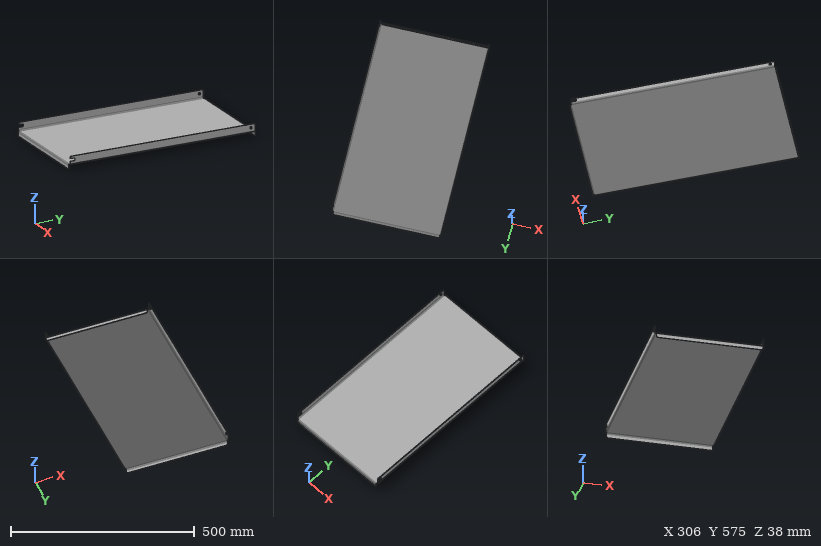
import cadquery as cq

length = 575.0
width = 306.0
height = 38.0
thickness = 1.5
inner_bend_radius = 1.5
outer_bend_radius = inner_bend_radius + thickness
corner_relief = 3.75
wall_height = 25.0

lip_bottom = wall_height - height
wall_length = length - 2 * corner_relief
lip_width = width - 2 * corner_relief
wall_corner_radius = 4.0
lip_corner_radius = 5.0

hole_diameter = 6.5
hole_end_distance = 12.0
mount_drop = 10.5
mount_height = wall_height - mount_drop
slot_width = 8.0
slot_depth = 15.0


def bent_channel(plane, span, flange_height, run):
    """U channel on a floor at Z = 0, opening upward and centred along its run."""
    bend_axis = "|Y" if plane == "XZ" else "|X"

    def rounded_block(block_span, bottom, bend_radius):
        return (
            cq.Workplane(plane)
            .center(0, (bottom + flange_height) / 2)
            .rect(block_span, flange_height - bottom)
            .extrude(run / 2, both=True)
            .edges(bend_axis)
            .edges("<Z")
            .fillet(bend_radius)
        )

    outside = rounded_block(span, 0, outer_bend_radius)
    inside = rounded_block(span - 2 * thickness, thickness, inner_bend_radius)
    return outside.cut(inside)


def side_walls():
    channel = bent_channel("XZ", width, wall_height, wall_length)
    channel = channel.edges("|X").edges(">Z").edges("<Y or >Y").fillet(wall_corner_radius)

    hole = (
        cq.Workplane("YZ")
        .center(wall_length / 2 - hole_end_distance, mount_height)
        .circle(hole_diameter / 2)
        .extrude(width, both=True)
    )
    slot = (
        cq.Workplane("YZ")
        .center(-wall_length / 2, mount_height)
        .slot2D(2 * slot_depth, slot_width)
        .extrude(width, both=True)
    )
    return channel.cut(hole).cut(slot)


def end_lips():
    lip_height = thickness - lip_bottom
    channel = bent_channel("YZ", length, lip_height, lip_width)
    channel = channel.edges("|Y").edges(">Z").edges("<X or >X").fillet(lip_corner_radius)
    return channel.rotate((0, 0, 0), (1, 0, 0), 180).translate((0, 0, thickness))


result = side_walls().union(end_lips())